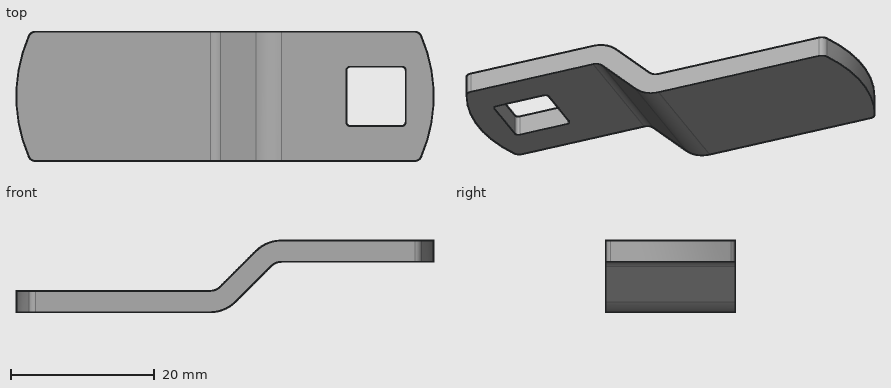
import cadquery as cq
import math

thickness = 3.0
width = 18.0
total_height = 10.0
offset = total_height - thickness

hole_to_mounting_tip = 8.03
hole_to_latching_tip = 50.0
hole_to_upper_bend = 13.15

bend_angle = 45.0
inner_bend_radius = 2.0
outer_bend_radius = inner_bend_radius + thickness

tip_radius = 21.0
corner_radius = 1.0
hole_side = 8.2
hole_corner_radius = 0.5


def joggle_profile():
    """Side profile in XZ; the underside of the mounting end lies at Z = 0."""
    sin_bend = math.sin(math.radians(bend_angle))
    cos_bend = math.cos(math.radians(bend_angle))
    sin_half = math.sin(math.radians(bend_angle / 2))
    cos_half = math.cos(math.radians(bend_angle / 2))

    radius_sum = inner_bend_radius + outer_bend_radius
    slope_rise = offset - radius_sum * (1 - cos_bend)
    slope_run = slope_rise / math.tan(math.radians(bend_angle))
    joggle_run = radius_sum * sin_bend + slope_run

    upper_bend_x = -hole_to_upper_bend
    lower_bend_x = upper_bend_x - joggle_run
    upper_center_z = -inner_bend_radius
    lower_center_z = thickness - offset + inner_bend_radius

    def upper_bend_point(radius, sine, cosine):
        return (upper_bend_x - radius * sine, upper_center_z + radius * cosine)

    def lower_bend_point(radius, sine, cosine):
        return (lower_bend_x + radius * sine, lower_center_z - radius * cosine)

    return (
        cq.Workplane("XZ")
        .moveTo(-hole_to_latching_tip, -offset)
        .lineTo(*lower_bend_point(outer_bend_radius, 0, 1))
        .threePointArc(
            lower_bend_point(outer_bend_radius, sin_half, cos_half),
            lower_bend_point(outer_bend_radius, sin_bend, cos_bend),
        )
        .lineTo(*upper_bend_point(inner_bend_radius, sin_bend, cos_bend))
        .threePointArc(
            upper_bend_point(inner_bend_radius, sin_half, cos_half),
            upper_bend_point(inner_bend_radius, 0, 1),
        )
        .lineTo(hole_to_mounting_tip, 0)
        .lineTo(hole_to_mounting_tip, thickness)
        .lineTo(*upper_bend_point(outer_bend_radius, 0, 1))
        .threePointArc(
            upper_bend_point(outer_bend_radius, sin_half, cos_half),
            upper_bend_point(outer_bend_radius, sin_bend, cos_bend),
        )
        .lineTo(*lower_bend_point(inner_bend_radius, sin_bend, cos_bend))
        .threePointArc(
            lower_bend_point(inner_bend_radius, sin_half, cos_half),
            lower_bend_point(inner_bend_radius, 0, 1),
        )
        .lineTo(-hole_to_latching_tip, thickness - offset)
        .close()
    )


def plan_blank():
    """Full-height block with bowed ends and rounded corners, used to trim the strip in plan."""
    half_width = width / 2
    tip_bow = tip_radius - math.sqrt(tip_radius**2 - half_width**2)
    mounting_corner_x = hole_to_mounting_tip - tip_bow
    latching_corner_x = tip_bow - hole_to_latching_tip
    return (
        cq.Workplane("XY", origin=(0, 0, -offset))
        .moveTo(latching_corner_x, -half_width)
        .lineTo(mounting_corner_x, -half_width)
        .threePointArc((hole_to_mounting_tip, 0), (mounting_corner_x, half_width))
        .lineTo(latching_corner_x, half_width)
        .threePointArc((-hole_to_latching_tip, 0), (latching_corner_x, -half_width))
        .close()
        .extrude(total_height)
        .edges("|Z")
        .fillet(corner_radius)
    )


def square_hole():
    """Cutter for the through hole in the mounting end."""
    return (
        cq.Workplane("XY")
        .rect(hole_side, hole_side)
        .extrude(thickness)
        .edges("|Z")
        .fillet(hole_corner_radius)
    )


strip = joggle_profile().extrude(width / 2, both=True)
result = strip.intersect(plan_blank()).cut(square_hole())